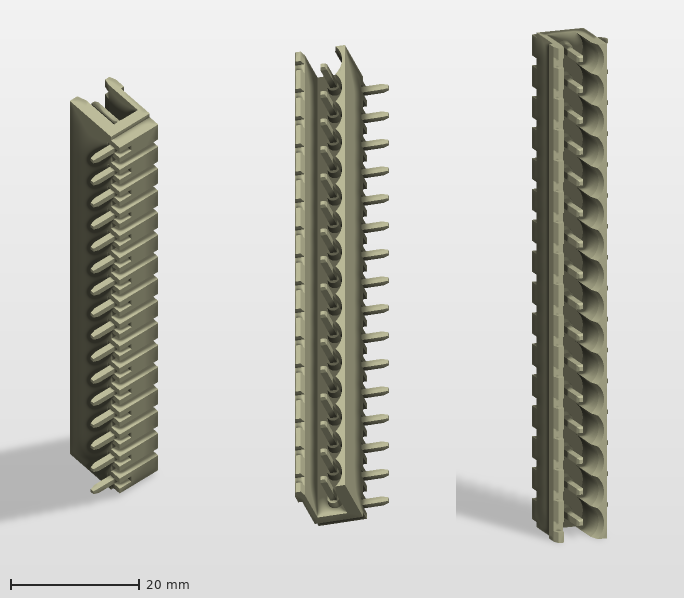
import cadquery as cq

PIN_COUNT = 16
LENGTH = 80.0
PITCH = LENGTH / PIN_COUNT

DEPTH = 12.2
BODY_BACK = 10.1
CHANNEL_FLOOR = 8.3
BODY_BOTTOM = 4.1
BODY_TOP = 11.9
UPPER_WALL_INNER = 11.0

HOOK_TOP = 12.6
HOOK_LENGTH = 3.0
HOOK_RAMP = 1.1
NOSE_TOP = 12.2
NOSE_BOTTOM = 11.3
NOSE_LEAD_IN = 1.3
NOTCH_DEPTH = 1.1
NOTCH_HEIGHT = 1.6

SOCKET_RADIUS = 3.1
SOCKET_MOUTH_RADIUS = 3.4
SOCKET_LEAD_IN = 1.6

RIB_HEIGHT = 3.4
SLOT_START = 9.1
SLOT_HEIGHT = 1.2
SLOT_DEPTH = 2.4

PIN_SIZE = 1.0
CONTACT_Y = 8.0
CONTACT_TIP_X = 1.0
CONTACT_TIP_LENGTH = 0.6
TAIL_X = 10.3
TAIL_TIP_LENGTH = 1.0
PIN_TIP_SIZE = 0.6

COLLAR_LENGTH = 1.2
COLLAR_RADIUS = 1.3
COLLAR_FACE_RADIUS = 1.0

PIN_LEVELS = [(number + 0.5) * PITCH for number in range(PIN_COUNT)]


def box(x_range, y_range, z_center, height):
    """Block between two X and two Y values, centred on a Z level."""
    (x0, x1), (y0, y1) = x_range, y_range
    base = (x0, y0, z_center - height / 2)
    return cq.Workplane("XY", origin=base).box(x1 - x0, y1 - y0, height, centered=False)


def housing_channel():
    """Channel with a solid lower wall, reaching in as far as the contact axis."""
    outline = [
        (0, BODY_BOTTOM),
        (BODY_BACK, BODY_BOTTOM),
        (BODY_BACK, BODY_TOP),
        (HOOK_LENGTH, BODY_TOP),
        (HOOK_LENGTH, HOOK_TOP),
        (HOOK_RAMP, HOOK_TOP),
        (0, NOSE_TOP),
        (0, NOSE_BOTTOM),
        (NOSE_LEAD_IN, UPPER_WALL_INNER),
        (CHANNEL_FLOOR, UPPER_WALL_INNER),
        (CHANNEL_FLOOR, CONTACT_Y),
        (0, CONTACT_Y),
    ]
    return cq.Workplane("XY").polyline(outline).close().extrude(LENGTH)


def socket_cutter(z):
    """Cylinder round a contact, widening toward the open end, limited to the lower wall and one pitch."""
    half_section = [
        (0, CONTACT_Y),
        (0, CONTACT_Y - SOCKET_MOUTH_RADIUS),
        (SOCKET_LEAD_IN, CONTACT_Y - SOCKET_RADIUS),
        (CHANNEL_FLOOR, CONTACT_Y - SOCKET_RADIUS),
        (CHANNEL_FLOOR, CONTACT_Y),
    ]
    axis_start = (0, CONTACT_Y, 0)
    axis_end = (1, CONTACT_Y, 0)
    cutter = cq.Workplane("XY").polyline(half_section).close().revolve(360, axis_start, axis_end)
    lower_half = box((0, CHANNEL_FLOOR), (BODY_BOTTOM, CONTACT_Y), 0, PITCH)
    return cutter.intersect(lower_half).translate((0, 0, z))


def back_rib(z):
    return box((BODY_BACK, DEPTH), (BODY_BOTTOM, BODY_TOP), z, RIB_HEIGHT)


def tail_slot(z):
    return box((SLOT_START, DEPTH), (BODY_BOTTOM, BODY_BOTTOM + SLOT_DEPTH), z, SLOT_HEIGHT)


def hook_notch(z):
    return box((0, NOTCH_DEPTH), (UPPER_WALL_INNER, HOOK_TOP), z, NOTCH_HEIGHT)


def tapered_tip(plane, length):
    return (
        cq.Workplane(plane)
        .rect(PIN_SIZE, PIN_SIZE)
        .workplane(offset=length)
        .rect(PIN_TIP_SIZE, PIN_TIP_SIZE)
        .loft(ruled=True)
    )


def bent_pin(z):
    """Contact along X through the channel floor, bent into a tail along -Y."""
    half = PIN_SIZE / 2
    contact_start = CONTACT_TIP_X + CONTACT_TIP_LENGTH
    contact = box((contact_start, TAIL_X + half), (CONTACT_Y - half, CONTACT_Y + half), z, PIN_SIZE)
    tail = box((TAIL_X - half, TAIL_X + half), (TAIL_TIP_LENGTH, CONTACT_Y), z, PIN_SIZE)
    contact_end = cq.Plane((contact_start, CONTACT_Y, z), xDir=(0, 1, 0), normal=(-1, 0, 0))
    tail_end = cq.Plane((TAIL_X, TAIL_TIP_LENGTH, z), xDir=(1, 0, 0), normal=(0, -1, 0))
    pin = contact.union(tail)
    pin = pin.union(tapered_tip(contact_end, CONTACT_TIP_LENGTH))
    return pin.union(tapered_tip(tail_end, TAIL_TIP_LENGTH))


def collar(z):
    base = cq.Plane((CHANNEL_FLOOR, CONTACT_Y, z), xDir=(0, 1, 0), normal=(-1, 0, 0))
    return (
        cq.Workplane(base)
        .circle(COLLAR_RADIUS)
        .workplane(offset=COLLAR_LENGTH)
        .circle(COLLAR_FACE_RADIUS)
        .loft(ruled=True)
    )


header = housing_channel()
for level in PIN_LEVELS:
    header = header.cut(socket_cutter(level), clean=False).cut(hook_notch(level), clean=False)
    header = header.union(back_rib(level), clean=False).cut(tail_slot(level), clean=False)
    header = header.union(collar(level), clean=False).union(bent_pin(level), clean=False)

result = header.clean().solids()